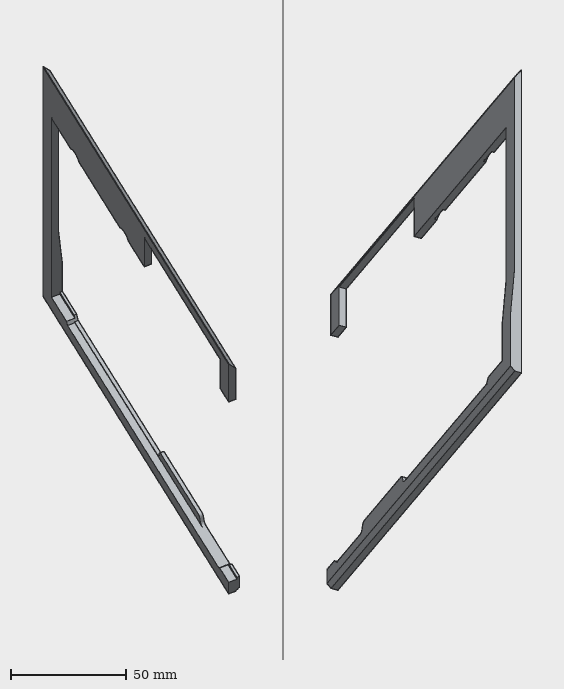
import cadquery as cq

length = 183.6
depth = 5.3
height = 159.5

upper_depth = 3.5
ramp_bottom = 29.7
ramp_top = 52.9
bottom_chamfer = 2.0
top_bevel_height = 4.5
top_edge_depth = 0.4

post_width = 8.5
panel_end = 100.2
panel_height = 26.0
top_bar_height = 5.9
panel_bottom = height - panel_height
hook_left = length - post_width

bar_height = 7.2
left_pad_height = 8.8
left_slope_bottom = 24.5
left_slope_run_per_rise = 0.65
right_pad_height = 8.0
right_slope_bottom = 173.9
right_slope_run_per_rise = 1.0

lip_depth = depth - upper_depth
mid_lip_height = 7.5
pad_lip_depth = 1.3
pad_lip_rise = 1.3

tab_top = 12.0
tab_base_left = 107.4
tab_top_left = 108.1
tab_base_right = 149.0
tab_top_right = 147.5
tab_fillet = 1.8

scallop_centers = (31.5, 80.5)
scallop_width = 8.0
scallop_height = 1.8
scallop_depth = 1.1


def extrude_at_back(points, thickness):
    """Plate with the given XZ outline, flush with the back of the frame."""
    plate = cq.Workplane("XZ").polyline(points).close().extrude(-thickness)
    return plate.translate((0, depth - thickness, 0))


def left_slope_x(z):
    return left_slope_bottom - (z - bar_height) * left_slope_run_per_rise


def right_slope_x(z):
    return right_slope_bottom + (z - bar_height) * right_slope_run_per_rise


def make_side_profile():
    """Full-length body with the stepped back, bottom chamfer and bevelled top."""
    outline = [
        (0, 0),
        (depth - bottom_chamfer, 0),
        (depth, bottom_chamfer),
        (depth, ramp_bottom),
        (upper_depth, ramp_top),
        (upper_depth, height - top_bevel_height),
        (top_edge_depth, height),
        (0, height),
    ]
    return cq.Workplane("YZ").polyline(outline).close().extrude(length)


def make_frame_outline():
    """Post, bottom bar with pads, panel, thin top bar and hook."""
    outline = [
        (0, 0),
        (length, 0),
        (length, right_pad_height),
        (right_slope_x(right_pad_height), right_pad_height),
        (right_slope_bottom, bar_height),
        (left_slope_bottom, bar_height),
        (left_slope_x(left_pad_height), left_pad_height),
        (post_width, left_pad_height),
        (post_width, panel_bottom),
        (panel_end, panel_bottom),
        (panel_end, height - top_bar_height),
        (hook_left, height - top_bar_height),
        (hook_left, panel_bottom),
        (length, panel_bottom),
        (length, height),
        (0, height),
    ]
    return extrude_at_back(outline, depth)


def make_middle_lip():
    """Back lip between the pads: a low step, then the tab with rounded corners and feet."""
    tab_corners = [
        (tab_base_left, mid_lip_height),
        (tab_top_left, tab_top),
        (tab_top_right, tab_top),
        (tab_base_right, bar_height),
    ]
    outline = [
        (left_slope_bottom, bottom_chamfer),
        (left_slope_x(mid_lip_height), mid_lip_height),
        *tab_corners,
        (right_slope_bottom, bar_height),
        (right_slope_bottom, bottom_chamfer),
    ]
    lip = extrude_at_back(outline, lip_depth)
    for x, z in tab_corners:
        corner = cq.selectors.NearestToPointSelector((x, depth - lip_depth / 2, z))
        lip = lip.edges("|Y").edges(corner).fillet(tab_fillet)
    return lip


def make_left_pad_lip():
    top = left_pad_height + pad_lip_rise
    outline = [
        (post_width, bottom_chamfer),
        (left_slope_bottom, bottom_chamfer),
        (left_slope_bottom, bar_height),
        (left_slope_x(top), top),
        (post_width, top),
    ]
    return extrude_at_back(outline, pad_lip_depth)


def make_right_pad_lip():
    top = right_pad_height + pad_lip_rise
    outline = [
        (right_slope_bottom, bottom_chamfer),
        (length, bottom_chamfer),
        (length, top),
        (right_slope_x(top), top),
        (right_slope_bottom, bar_height),
    ]
    return extrude_at_back(outline, pad_lip_depth)


def make_scallop(center):
    return (
        cq.Workplane("XZ")
        .moveTo(center - scallop_width / 2, panel_bottom)
        .threePointArc(
            (center, panel_bottom + scallop_height),
            (center + scallop_width / 2, panel_bottom),
        )
        .close()
        .extrude(-scallop_depth)
    )


result = make_side_profile().intersect(make_frame_outline())
for lip in (make_middle_lip(), make_left_pad_lip(), make_right_pad_lip()):
    result = result.union(lip)
for scallop_center in scallop_centers:
    result = result.cut(make_scallop(scallop_center))